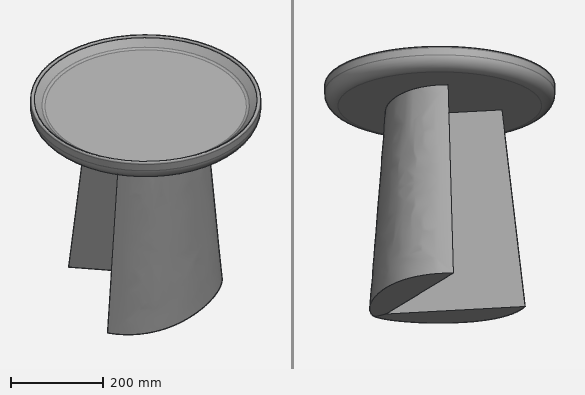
import cadquery as cq

TRAY_RADIUS = 250.0
TOTAL_HEIGHT = 500.0
TRAY_THICKNESS = 50.0
UNDERSIDE_FILLET = 29.0
RIM_ROUND = 4.25
FLOOR_DEPTH = 20.5
FLOOR_RADIUS = 218.5
WALL_FOOT_RADIUS = 225.0
WALL_FOOT_RISE = 2.5

LEG_HEIGHT = TOTAL_HEIGHT - TRAY_THICKNESS
TOP_SCALE = 0.75
TAPER_CENTRE_Y = 20.0
FOOT_CORNER = (134.5, -132.0)
FOOT_BULGE_CONTROL = (229.0, 0.0)
FOOT_NOSE_CONTROL_X = 60.0
FOOT_NOSE_Y = 173.0
FOOT_CREASE_Y = 143.0


def make_tray():
    """Revolve the half section of the tray about the Z axis."""
    underside = TOTAL_HEIGHT - TRAY_THICKNESS
    floor = TOTAL_HEIGHT - FLOOR_DEPTH
    rim_start = TOTAL_HEIGHT - RIM_ROUND
    rim_inner_radius = TRAY_RADIUS - 2 * RIM_ROUND
    section = (
        cq.Workplane("XZ")
        .moveTo(0, underside)
        .lineTo(TRAY_RADIUS - UNDERSIDE_FILLET, underside)
        .radiusArc((TRAY_RADIUS, underside + UNDERSIDE_FILLET), -UNDERSIDE_FILLET)
        .lineTo(TRAY_RADIUS, rim_start)
        .threePointArc((TRAY_RADIUS - RIM_ROUND, TOTAL_HEIGHT), (rim_inner_radius, rim_start))
        .lineTo(WALL_FOOT_RADIUS, floor + WALL_FOOT_RISE)
        .tangentArcPoint((FLOOR_RADIUS, floor), relative=False)
        .lineTo(0, floor)
        .close()
    )
    return section.revolve(360, (0, 0, 0), (0, 1, 0))


def leg_section(side, scale, height):
    """Leg outline at one height; side is +1 for the +X leg, -1 for the -X leg."""

    def place(point):
        x, y = point
        return cq.Vector(side * scale * x, TAPER_CENTRE_Y + scale * (y - TAPER_CENTRE_Y), height)

    corner = place(FOOT_CORNER)
    nose = place((0, FOOT_NOSE_Y))
    crease = place((0, FOOT_CREASE_Y))
    bulge_control = place(FOOT_BULGE_CONTROL)
    nose_control = place((FOOT_NOSE_CONTROL_X, FOOT_NOSE_Y))
    outer_curve = cq.Edge.makeBezier([corner, bulge_control, nose_control, nose])
    meeting_edge = cq.Edge.makeLine(nose, crease)
    inner_wall = cq.Edge.makeLine(crease, corner)
    return cq.Wire.assembleEdges([outer_curve, meeting_edge, inner_wall])


def make_leg(side):
    """Loft one leg from its foot section to its smaller top section."""
    foot = leg_section(side, 1.0, 0)
    top = leg_section(side, TOP_SCALE, LEG_HEIGHT)
    return cq.Solid.makeLoft([foot, top], True)


tray = make_tray()
legs = [make_leg(side) for side in (-1, 1)]

result = cq.Compound.makeCompound([tray.val(), *legs])